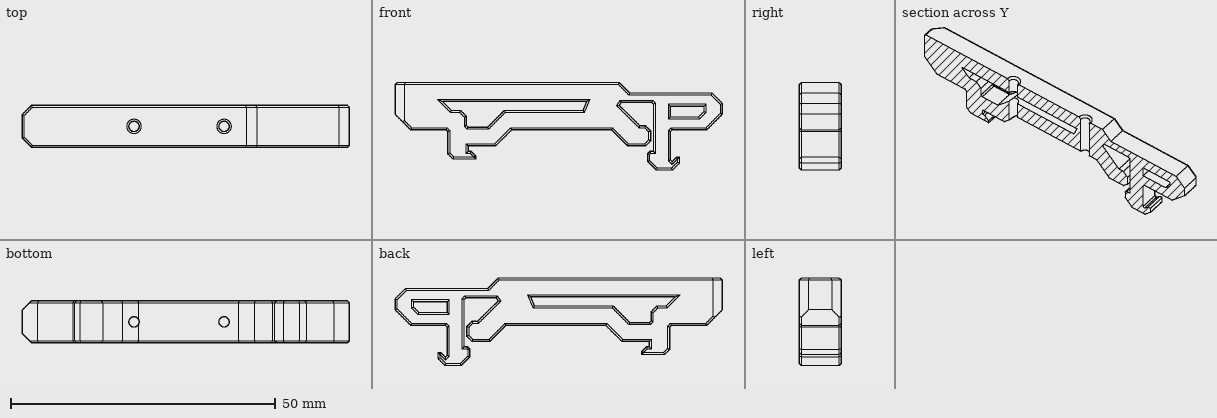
import cadquery as cq

length = 62.0
width = 8.0
height = 16.6

edge_bevel = 0.4
end_corner = 1.8
large_bevel = 3.0
small_bevel = 1.0
tiny_bevel = 0.3
hook_flat = 0.59

beam_bottom = -9.0
drop_bottom = -12.0
drop_run = beam_bottom - drop_bottom
hook_ledge = -13.0

hook_left = 10.0
hook_inner = 13.9
hook_tip = 15.3
hook_bottom = -14.5
hook_tip_top = hook_bottom + hook_flat
hook_slope = hook_ledge - hook_tip_top

first_slope_x = 19.05
second_slope_x = 41.0

stop_right = 48.4
stop_top = -8.2
stop_flat_left = 46.4
gap_left = 42.5
gap_left_level = -4.35
gap_roof_left = 42.85
gap_roof = -3.8

leg_left = 48.9
leg_right = 52.15
heel_left = 47.8
heel_bevel = 0.45
heel_bottom_bevel = 1.7
catch_right = 53.9
catch_top = -14.15
catch_bottom_bevel = 1.35
notch_x = 52.45
notch_bottom = catch_top - (catch_right - hook_flat - notch_x)

step_drop = 2.0
step_start = 42.5

window_roof = -3.6
window_floor = -5.3
pocket_floor = -8.45
window_left = 9.0
shelf_right = 12.4
pocket_left = 13.5
pocket_corner = 1.1
pocket_right = 17.55
window_right = 36.3
window_right_lean = 0.7

nose_window_left = 52.15
nose_window_right = 58.45
nose_window_top = -4.5
nose_window_bottom = -6.5

hole_diameter = 1.9
first_hole_x = 21.2
hole_spacing = 17.05

hook_points = [
    (hook_left - tiny_bevel, beam_bottom),
    (hook_left, beam_bottom - tiny_bevel),
    (hook_left, hook_bottom + small_bevel),
    (hook_left + small_bevel, hook_bottom),
    (hook_tip, hook_bottom),
    (hook_tip, hook_tip_top),
    (hook_tip - hook_slope, hook_ledge),
    (hook_inner, hook_ledge),
    (hook_inner, drop_bottom),
]

underside_points = [
    (first_slope_x, drop_bottom),
    (first_slope_x + drop_run, beam_bottom),
    (second_slope_x, beam_bottom),
    (second_slope_x + drop_run, drop_bottom),
]

stop_points = [
    (stop_right - small_bevel, drop_bottom),
    (stop_right, drop_bottom + small_bevel),
    (stop_right, stop_top - small_bevel),
    (stop_right - small_bevel, stop_top),
    (stop_flat_left, stop_top),
    (gap_left, gap_left_level),
    (gap_roof_left, gap_roof),
]

leg_points = [
    (leg_left - tiny_bevel, gap_roof),
    (leg_left, gap_roof - tiny_bevel),
    (leg_left, hook_ledge),
    (heel_left + heel_bevel, hook_ledge),
    (heel_left, hook_ledge - heel_bevel),
    (heel_left, heel_bottom_bevel - height),
    (heel_left + heel_bottom_bevel, -height),
    (catch_right - catch_bottom_bevel, -height),
    (catch_right, catch_bottom_bevel - height),
    (catch_right, catch_top),
    (catch_right - hook_flat, catch_top),
    (notch_x, notch_bottom),
    (leg_right, notch_bottom + notch_x - leg_right),
    (leg_right, beam_bottom - tiny_bevel),
    (leg_right + tiny_bevel, beam_bottom),
]

nose_points = [
    (length - large_bevel, beam_bottom),
    (length, beam_bottom + large_bevel),
    (length, -2 * step_drop),
    (length - step_drop, -step_drop),
    (step_start + step_drop, -step_drop),
    (step_start, 0),
]

blunt_end_points = [
    (0, 0),
    (0, beam_bottom + large_bevel),
    (large_bevel, beam_bottom),
]

outline = blunt_end_points + hook_points + underside_points + stop_points + leg_points + nose_points

long_window = [
    (window_left, window_roof),
    (window_left + window_roof - window_floor, window_floor),
    (shelf_right, window_floor),
    (pocket_left, window_floor - pocket_corner),
    (pocket_left, pocket_floor + tiny_bevel),
    (pocket_left + tiny_bevel, pocket_floor),
    (pocket_right, pocket_floor),
    (pocket_right + window_floor - pocket_floor, window_floor),
    (window_right - window_right_lean, window_floor),
    (window_right, window_roof),
]

nose_window = [
    (nose_window_left, nose_window_top),
    (nose_window_right, nose_window_top),
    (nose_window_right, nose_window_bottom + small_bevel),
    (nose_window_right - small_bevel, nose_window_bottom),
    (nose_window_left, nose_window_bottom),
]


def plate(points):
    """Closed X-Z outline extruded over the full width."""
    return cq.Workplane("XZ").polyline(points).close().extrude(width / 2, both=True)


def bevelled_frame():
    """Plate with both windows, bevelled along every edge of its two side faces."""
    frame = plate(outline).cut(plate(long_window)).cut(plate(nose_window))
    return frame.faces("<Y or >Y").edges().chamfer(edge_bevel)


def shape_blunt_end(body):
    """Cut the vertical corners of the blunt end, then bevel its three top edges."""
    envelope = cq.Workplane("XY").box(length, width, height, centered=(False, True, False))
    envelope = envelope.translate((0, 0, -height)).edges("<X and |Z").chamfer(end_corner)
    body = body.intersect(envelope)
    top_end_edges = cq.selectors.BoxSelector(
        (-edge_bevel, -width, -edge_bevel),
        (end_corner, width, edge_bevel),
    )
    return body.faces(">Z").edges(top_end_edges).chamfer(edge_bevel)


def drill_holes(body):
    """Two through holes with 45 degree countersinks in the top face."""
    hole_radius = hole_diameter / 2
    for x in (first_hole_x, first_hole_x + hole_spacing):
        mouth = cq.Workplane("XY").center(x, 0)
        body = body.cut(mouth.circle(hole_radius).extrude(-height))
        sink = cq.Solid.makeCone(
            hole_radius + edge_bevel, hole_radius, edge_bevel,
            pnt=cq.Vector(x, 0, 0), dir=cq.Vector(0, 0, -1),
        )
        body = body.cut(cq.Workplane(sink))
    return body


result = drill_holes(shape_blunt_end(bevelled_frame()))